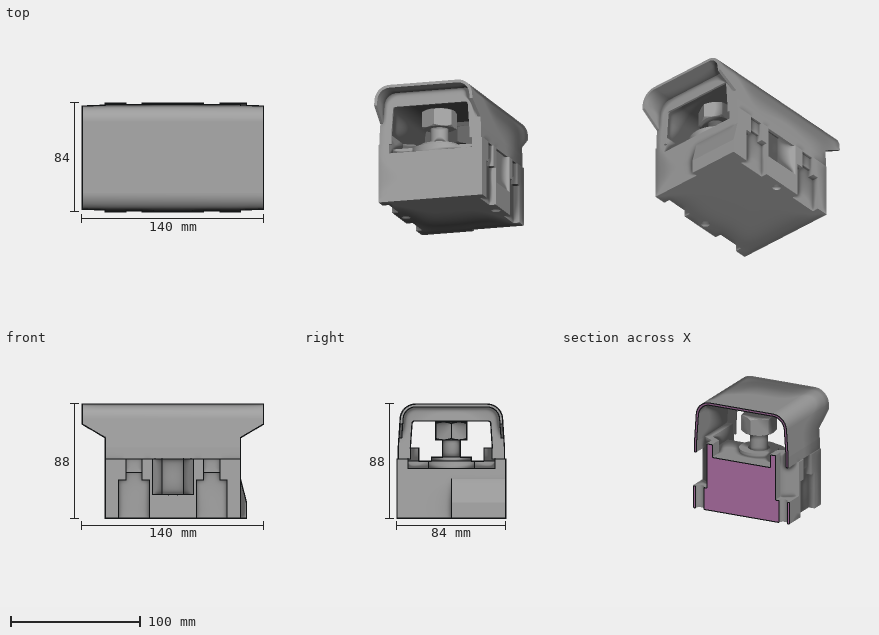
import cadquery as cq
import math

base_length = 104.3
base_width = 84.0
base_height = 45.8
half_length = base_length / 2
half_width = base_width / 2

trough_half_width = 33.6
trough_floor = 38.4
tongue_top = 54.3

cover_length = 140.0
cover_top = 88.0
cover_foot_half_width = 41.0
cover_shoulder_half_width = 38.8
cover_fillet = 12.0
cover_wall = 2.2
overhang_root = 62.0
overhang_tip = 72.5
rib_thickness = 1.7
window_top = 74.9
window_foot_half_width = 31.5
window_head_half_width = 30.1
window_fillet = 2.0

channel_offset = 30.0
channel_width = 23.8
channel_height = 29.4
neck_width = 12.6
channel_depth = 5.2
recess_bottom = 35.4
tongue_half_width = cover_foot_half_width - cover_wall

pocket_floor = 18.2
pocket_depth = 12.0
pocket_mouth = 31.6
pocket_back = 16.4
pocket_wall = 4.9
mount_hole_diameter = 7.0
mount_hole_inset = 5.6

foot_reach = 4.8
foot_top = 30.1
foot_shoulder = 11.8
foot_width = 42.0

bar_length = 83.5
bar_top = 44.0
bar_lobe_radius = 21.5
bolt_offset = 29.4
washer_radius = 15.4
washer_top = 47.0
washer_bore_radius = 8.4
shank_radius = 6.9
head_across_flats = 24.1
head_bottom = 60.3
head_top = 74.2
head_chamfer_radius = 11.9
head_chamfer_angle = 30.0


def block(x_range, y_range, z_range):
    """Axis-aligned block from its limits along X, Y and Z."""
    (x0, x1), (y0, y1), (z0, z1) = x_range, y_range, z_range
    return cq.Workplane("XY").box(x1 - x0, y1 - y0, z1 - z0, centered=False).translate((x0, y0, z0))


def both_sides(shape):
    """A shape together with its mirror image across the XZ plane."""
    return shape.union(shape.mirror("XZ"))


def disc(x, radius, bottom, top):
    """Upright cylinder on the centre line of the base."""
    return cq.Workplane("XY", origin=(x, 0, bottom)).circle(radius).extrude(top - bottom)


def side_channel(x):
    """Channel in the -Y side: wide below, narrow above, shallower at the very top."""
    deep = (-half_width, -half_width + channel_depth)
    shallow = (-half_width, -tongue_half_width)
    wide = block((x - channel_width / 2, x + channel_width / 2), deep, (0, channel_height))
    neck_x = (x - neck_width / 2, x + neck_width / 2)
    neck = block(neck_x, deep, (channel_height, recess_bottom))
    recess = block(neck_x, shallow, (recess_bottom, base_height))
    return wide.union(neck).union(recess)


def pocket_plan(outer_y, inner_y, margin):
    """Trapezoid narrowing inward from the -Y side; margin widens it parallel to the pocket flanks."""
    slope = (pocket_mouth - pocket_back) / 2 / pocket_depth
    side_margin = margin * math.hypot(1, slope)

    def half_at(y):
        return pocket_mouth / 2 - slope * (y + half_width) + side_margin

    outer = half_at(outer_y)
    inner = half_at(inner_y)
    return cq.Workplane("XY").polyline(
        [(-outer, outer_y), (outer, outer_y), (inner, inner_y), (-inner, inner_y)]
    ).close()


def pocket_boss():
    """Walls that surround the pocket where it reaches into the trough."""
    inner_y = -half_width + pocket_depth + pocket_wall
    plan = pocket_plan(-tongue_half_width, inner_y, pocket_wall)
    return plan.extrude(tongue_top - trough_floor).translate((0, 0, trough_floor))


def mounting_pocket():
    """Pocket open to the side and the top, with a screw hole through its floor."""
    plan = pocket_plan(-half_width, -half_width + pocket_depth, 0)
    pocket = plan.extrude(tongue_top - pocket_floor).translate((0, 0, pocket_floor))
    hole = disc(0, mount_hole_diameter / 2, 0, pocket_floor)
    return pocket.union(hole.translate((0, mount_hole_inset - half_width, 0)))


def end_foot():
    """Wedge on the +X end, flush with the +Y side."""
    profile = [
        (half_length, 0),
        (half_length + foot_reach, 0),
        (half_length + foot_reach, foot_shoulder),
        (half_length, foot_top),
    ]
    wedge = cq.Workplane("XZ").polyline(profile).close().extrude(foot_width)
    return wedge.translate((0, half_width, 0))


def terminal_bar():
    """Flat bar with a round lobe under each bolt."""
    half_bar = bar_length / 2
    bar = block(
        (-half_bar, half_bar), (-trough_half_width, trough_half_width), (trough_floor, bar_top)
    )
    for x in (-bolt_offset, bolt_offset):
        bar = bar.union(disc(x, bar_lobe_radius, trough_floor, bar_top))
    return bar


def terminal_bolt(x):
    """Loose-bored washer, shank and hexagon head, the head corners chamfered at both ends."""
    bore = disc(x, washer_bore_radius, bar_top, washer_top)
    washer = disc(x, washer_radius, bar_top, washer_top).cut(bore)
    shank = disc(x, shank_radius, bar_top, head_bottom)

    corner_radius = head_across_flats / math.sqrt(3)
    drop = (corner_radius - head_chamfer_radius) * math.tan(math.radians(head_chamfer_angle))
    hexagon = (
        cq.Workplane("XY", origin=(0, 0, head_bottom))
        .polygon(6, 2 * corner_radius)
        .extrude(head_top - head_bottom)
    )
    envelope = (
        cq.Workplane("XZ")
        .polyline([
            (0, head_bottom),
            (head_chamfer_radius, head_bottom),
            (corner_radius, head_bottom + drop),
            (corner_radius, head_top - drop),
            (head_chamfer_radius, head_top),
            (0, head_top),
        ])
        .close()
        .revolve(360, (0, 0, 0), (0, 1, 0))
    )
    head = hexagon.intersect(envelope).translate((x, 0, 0))
    return washer.union(shank).union(head)


def make_base():
    length_range = (-half_length, half_length)
    body = block(length_range, (-half_width, half_width), (0, base_height))
    trough = block(length_range, (-trough_half_width, trough_half_width), (trough_floor, base_height))
    body = body.cut(trough)

    tongue_end = half_length - rib_thickness
    tongue = block(
        (-tongue_end, tongue_end),
        (-tongue_half_width, -trough_half_width),
        (trough_floor, tongue_top),
    )
    body = body.union(both_sides(tongue.union(pocket_boss())))
    body = body.union(terminal_bar()).cut(both_sides(mounting_pocket()))
    for x in (-bolt_offset, bolt_offset):
        body = body.union(terminal_bolt(x))
    for x in (-channel_offset, channel_offset):
        body = body.cut(both_sides(side_channel(x)))
    return body.union(end_foot())


def arch(length, foot_half, head_half, top, fillet):
    """Prism along X: upright feet up to the tongue top, then leaning sides and rounded shoulders."""
    profile = [
        (-foot_half, base_height),
        (foot_half, base_height),
        (foot_half, tongue_top),
        (head_half, top),
        (-head_half, top),
        (-foot_half, tongue_top),
    ]
    prism = cq.Workplane("YZ").polyline(profile).close().extrude(length / 2, both=True)
    return prism.faces(">Z").edges("|X").fillet(fillet)


def side_silhouette():
    """Outline of the cover along its length: narrow foot, sloped overhang at each end."""
    half_cover = cover_length / 2
    profile = [
        (-half_length, base_height),
        (half_length, base_height),
        (half_length, overhang_root),
        (half_cover, overhang_tip),
        (half_cover, cover_top),
        (-half_cover, cover_top),
        (-half_cover, overhang_tip),
        (-half_length, overhang_root),
    ]
    return cq.Workplane("XZ").polyline(profile).close().extrude(half_width, both=True)


def make_cover():
    outer = arch(
        cover_length, cover_foot_half_width, cover_shoulder_half_width, cover_top, cover_fillet
    )
    cavity = arch(
        cover_length,
        tongue_half_width,
        cover_shoulder_half_width - cover_wall,
        cover_top - cover_wall,
        cover_fillet - cover_wall,
    )
    window = arch(
        cover_length, window_foot_half_width, window_head_half_width, window_top, window_fillet
    )
    rib_zone = block(
        (half_length - rib_thickness, half_length), (-half_width, half_width), (base_height, cover_top)
    )
    ribs = rib_zone.union(rib_zone.mirror("YZ")).intersect(outer).cut(window)
    return outer.cut(cavity).intersect(side_silhouette()).union(ribs)


base = make_base()
cover = make_cover()
result = cq.Compound.makeCompound([base.solids().val(), cover.solids().val()])